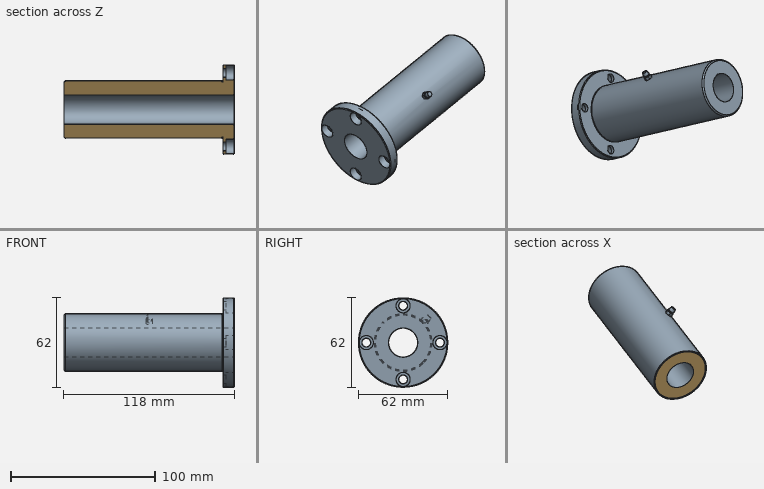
import cadquery as cq
import math

length = 118.0
flange_diameter = 62.0
flange_thickness = 8.0
flange_chamfer = 0.6
tube_diameter = 40.0
tube_chamfer = 1.0
bore_diameter = tube_diameter / 2

relief_width = 0.7
relief_depth = 0.7

hole_count = 4
hole_diameter = 5.9
hole_circle_diameter = 51.0
counterbore_diameter = 9.8
counterbore_floor = 2.4

nipple_tilt = 45.0
hex_sides = 6
hex_across_flats = 4.6
hex_height = 2.0
neck_diameter = 3.4
neck_height = 0.4
head_diameter = 4.4
head_flare_height = 0.6
head_rim_height = 0.5
tip_diameter = 3.4
nipple_height = 5.5
nipple_embed = 1.2

flange_face_x = length / 2 - flange_thickness
tube_radius = tube_diameter / 2


def make_tube():
    body_length = length - flange_thickness - relief_width
    tube = (
        cq.Workplane("YZ", origin=(-length / 2, 0, 0))
        .circle(tube_radius)
        .extrude(body_length)
        .faces("<X")
        .chamfer(tube_chamfer)
    )
    neck = (
        cq.Workplane("YZ", origin=(flange_face_x - relief_width, 0, 0))
        .circle(tube_radius - relief_depth)
        .extrude(relief_width)
    )
    return tube.union(neck)


def make_hole_pattern(start_x, diameter):
    """Cylinders on the hole circle, running from start_x to the free face of the flange."""
    return (
        cq.Workplane("YZ", origin=(start_x, 0, 0))
        .polarArray(hole_circle_diameter / 2, 0, 360, hole_count)
        .circle(diameter / 2)
        .extrude(length / 2 - start_x)
    )


def make_flange():
    flange = (
        cq.Workplane("YZ", origin=(flange_face_x, 0, 0))
        .circle(flange_diameter / 2)
        .extrude(flange_thickness)
        .edges()
        .chamfer(flange_chamfer)
    )
    holes = make_hole_pattern(flange_face_x, hole_diameter)
    counterbores = make_hole_pattern(flange_face_x + counterbore_floor, counterbore_diameter)
    return flange.cut(holes).cut(counterbores)


def make_nipple():
    """Build the nipple upright on the tube, then tilt it about X toward +Y."""
    hex_diameter = hex_across_flats / math.cos(math.pi / hex_sides)
    base = (
        cq.Workplane("XY", origin=(0, 0, tube_radius - nipple_embed))
        .transformed(rotate=(0, 0, 90))
        .polygon(hex_sides, hex_diameter)
        .extrude(nipple_embed + hex_height)
    )
    flare_start = hex_height + neck_height
    rim_start = flare_start + head_flare_height
    rim_end = rim_start + head_rim_height
    head = (
        cq.Workplane("XZ", origin=(0, 0, tube_radius))
        .moveTo(0, 0)
        .lineTo(neck_diameter / 2, 0)
        .lineTo(neck_diameter / 2, flare_start)
        .lineTo(head_diameter / 2, rim_start)
        .lineTo(head_diameter / 2, rim_end)
        .lineTo(tip_diameter / 2, nipple_height)
        .lineTo(0, nipple_height)
        .close()
        .revolve(360, (0, 0, 0), (0, 1, 0))
    )
    return base.union(head).rotate((0, 0, 0), (1, 0, 0), -nipple_tilt)


bore = (
    cq.Workplane("YZ", origin=(-length / 2, 0, 0))
    .circle(bore_diameter / 2)
    .extrude(length)
)

result = make_tube().union(make_flange()).cut(bore).union(make_nipple())